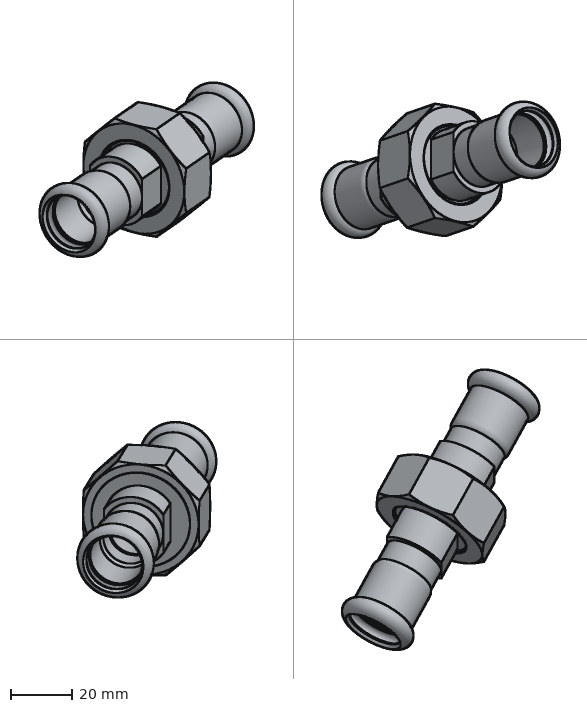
import cadquery as cq
import math

length = 97.0
end_y = length / 2

bead_diameter = 25.6
bead_width = 6.4
socket_outer_diameter = 21.3
socket_outer_depth = 20.1
neck_diameter = 20.0
neck_start_depth = 22.0

mouth_diameter = 20.3
lip_diameter = 18.7
lip_taper_depth = 1.4
lip_depth = 1.7
groove_diameter = 23.2
groove_end_depth = 5.0
socket_entry_diameter = 18.7
socket_entry_depth = 5.5
socket_start_depth = 6.1
socket_diameter = 18.3
neck_bore_diameter = 17.0
body_bore_diameter = 16.0

body_diameter = 24.2
body_length = 38.2
body_flat_width = 20.0
body_end_depth = (length - body_length) / 2

nut_width = 39.0
nut_front_y = -8.05
nut_back_y = 8.6
nut_chamfer_diameter = 38.8
nut_chamfer_depth = 1.1
nut_opening_diameter = 27.1
nut_opening_floor_diameter = 26.1
nut_opening_depth = 0.8
nut_sides = 8
half_side_angle = 180 / nut_sides
nut_corner_diameter = nut_width / math.cos(math.radians(half_side_angle))

collar_diameter = 33.2
collar_back_y = 8.9


def cylinder(diameter, y_start, y_end):
    """Cylinder on the Y axis."""
    return (
        cq.Workplane("XZ", origin=(0, y_start, 0))
        .circle(diameter / 2)
        .extrude(y_start - y_end)
    )


def pipe_end_outside():
    """Solid outside of the -Y pipe end, reaching to the middle of the part."""
    socket_radius = socket_outer_diameter / 2
    neck_radius = neck_diameter / 2
    socket_end_y = -end_y + socket_outer_depth
    return (
        cq.Workplane("XY")
        .moveTo(0, -end_y)
        .lineTo(mouth_diameter / 2, -end_y)
        .threePointArc(
            (bead_diameter / 2, -end_y + bead_width / 2),
            (socket_radius, -end_y + bead_width),
        )
        .lineTo(socket_radius, socket_end_y)
        .tangentArcPoint((neck_radius, -end_y + neck_start_depth), relative=False)
        .lineTo(neck_radius, 0)
        .lineTo(0, 0)
        .close()
        .revolve(360, (0, 0, 0), (0, 1, 0))
    )


def pipe_end_bore():
    """Stepped bore of the -Y pipe end with its rounded seal groove."""
    return (
        cq.Workplane("XY")
        .moveTo(0, -end_y)
        .lineTo(mouth_diameter / 2, -end_y)
        .lineTo(lip_diameter / 2, -end_y + lip_taper_depth)
        .lineTo(lip_diameter / 2, -end_y + lip_depth)
        .threePointArc(
            (groove_diameter / 2, -end_y + (lip_depth + groove_end_depth) / 2),
            (socket_entry_diameter / 2, -end_y + groove_end_depth),
        )
        .lineTo(socket_entry_diameter / 2, -end_y + socket_entry_depth)
        .lineTo(socket_diameter / 2, -end_y + socket_start_depth)
        .lineTo(socket_diameter / 2, -end_y + socket_outer_depth)
        .lineTo(neck_bore_diameter / 2, -end_y + neck_start_depth)
        .lineTo(neck_bore_diameter / 2, -end_y + body_end_depth)
        .lineTo(body_bore_diameter / 2, -end_y + body_end_depth)
        .lineTo(body_bore_diameter / 2, 0)
        .lineTo(0, 0)
        .close()
        .revolve(360, (0, 0, 0), (0, 1, 0))
    )


def both_ends(half):
    """Join a -Y half with its mirror image."""
    return half.union(half.mirror("XZ"))


def flatted_body():
    """Round body with a flat on each X side."""
    flats = cq.Workplane("XY").box(body_flat_width, body_length, body_diameter)
    return cylinder(body_diameter, -body_length / 2, body_length / 2).intersect(flats)


def nut():
    """Octagon with conical end chamfers and a shallow tapered recess in front."""
    octagon = (
        cq.Workplane("XZ", origin=(0, nut_front_y, 0))
        .transformed(rotate=(0, 0, half_side_angle))
        .polygon(nut_sides, nut_corner_diameter)
        .extrude(nut_front_y - nut_back_y)
    )
    chamfer_envelope = (
        cylinder(nut_corner_diameter, nut_front_y, nut_back_y)
        .faces("<Y or >Y")
        .chamfer(nut_chamfer_depth, (nut_corner_diameter - nut_chamfer_diameter) / 2)
    )
    opening = (
        cylinder(nut_opening_diameter, nut_front_y, nut_front_y + nut_opening_depth)
        .faces(">Y")
        .chamfer(nut_opening_depth / 2, (nut_opening_diameter - nut_opening_floor_diameter) / 2)
    )
    return octagon.intersect(chamfer_envelope).cut(opening)


collar = cylinder(collar_diameter, 0, collar_back_y)
outside = both_ends(pipe_end_outside()).union(nut()).union(collar).union(flatted_body())
result = outside.cut(both_ends(pipe_end_bore()))